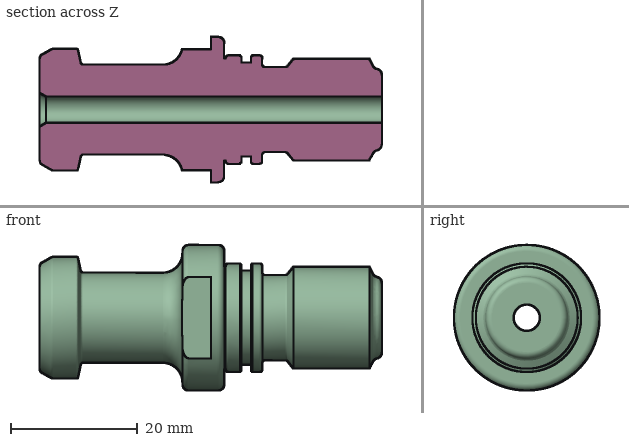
import cadquery as cq
import math

length = 54.0

head_radius = 9.6
head_nose_round = 0.75
head_bevel_start_radius = 8.5
head_bevel_end = 2.0
head_bevel_blend = 0.65
head_back = 6.05
head_taper_end = 6.6
head_back_round = 0.25

shank_radius = 7.15
shank_corner_round = 0.3
sweep_radius = 3.0

flange_front = 22.5
flange_back = 29.15
flange_radius = 11.5
flange_round = 1.0
flat_end = 27.0
flat_offset = 9.55

undercut_radius = 8.1
undercut_end = 29.3
collar_radius = 8.6
collar_end = 31.85
collar_front_round = 0.5
collar_back_edge = 0.25
groove_radius = 7.45
ring_start = 33.3
ring_end = 35.15
ring_front_edge = 0.25
ring_back_round = 0.5

relief_radius = 6.75
relief_corner_round = 0.3
relief_end = 39.0
thread_radius = 8.05
thread_start = 40.0
thread_end = 52.0
nose_radius = 6.5
nose_start = 52.8
nose_corner_round = 0.7
nose_round = 1.0

bore_radius = 2.05
bore_lead_in_radius = 2.65
bore_lead_in_depth = 1.0


def cylinder(start, end, radius):
    """Solid cylinder along X."""
    return cq.Workplane("YZ", origin=(start, 0, 0)).circle(radius).extrude(end - start)


def cone(start, end, start_radius, end_radius):
    """Solid truncated cone along X."""
    outline = [(start, 0), (start, start_radius), (end, end_radius), (end, 0)]
    return cq.Workplane("XY").polyline(outline).close().revolve(360, (0, 0, 0), (1, 0, 0))


def round_edge(body, x, radius, round_size):
    """Round the circular edge of the given radius in the plane at x."""
    tolerance = 0.005
    reach = radius + tolerance
    box = cq.selectors.BoxSelector((x - tolerance, -reach, -reach), (x + tolerance, reach, reach), True)
    return body.edges(box).fillet(round_size)


def make_head_and_shank():
    outline = [
        (0, 0),
        (0, head_bevel_start_radius),
        (head_bevel_end, head_radius),
        (head_back, head_radius),
        (head_taper_end, shank_radius),
        (flange_front, shank_radius),
        (flange_front, 0),
    ]
    body = cq.Workplane("XY").polyline(outline).close().revolve(360, (0, 0, 0), (1, 0, 0))
    body = round_edge(body, 0, head_bevel_start_radius, head_nose_round)
    body = round_edge(body, head_bevel_end, head_radius, head_bevel_blend)
    body = round_edge(body, head_back, head_radius, head_back_round)
    return round_edge(body, head_taper_end, shank_radius, shank_corner_round)


def make_sweep():
    sweep_start = flange_front - sweep_radius
    sweep_top = shank_radius + sweep_radius
    diagonal = sweep_radius * math.sqrt(0.5)
    return (
        cq.Workplane("XY")
        .moveTo(sweep_start, 0)
        .lineTo(sweep_start, shank_radius)
        .threePointArc((sweep_start + diagonal, sweep_top - diagonal), (flange_front, sweep_top))
        .lineTo(flange_front, 0)
        .close()
        .revolve(360, (0, 0, 0), (1, 0, 0))
    )


def make_flange():
    return cylinder(flange_front, flange_back, flange_radius).edges().fillet(flange_round)


def cut_flats(body):
    flat_depth = flange_radius - flat_offset
    flat_length = flat_end - flange_front + sweep_radius
    for side in (-1, 1):
        cutter = cq.Workplane("XY").box(flat_length, flat_depth, 2 * flange_radius)
        centre_x = flat_end - flat_length / 2
        centre_y = side * (flat_offset + flat_depth / 2)
        body = body.cut(cutter.translate((centre_x, centre_y, 0)))
    return body


def make_pilot():
    undercut = cylinder(flange_back, undercut_end, undercut_radius)
    collar = cylinder(undercut_end, collar_end, collar_radius)
    collar = collar.edges("<X").fillet(collar_front_round).edges(">X").chamfer(collar_back_edge)
    groove = cylinder(collar_end, ring_start, groove_radius)
    ring = cylinder(ring_start, ring_end, collar_radius)
    ring = ring.edges("<X").chamfer(ring_front_edge).edges(">X").fillet(ring_back_round)
    return undercut.union(collar).union(groove).union(ring)


def make_thread_end():
    relief = cylinder(ring_end, relief_end, relief_radius)
    lead_in = cone(relief_end, thread_start, relief_radius, thread_radius)
    thread = cylinder(thread_start, thread_end, thread_radius)
    lead_out = cone(thread_end, nose_start, thread_radius, nose_radius)
    nose = cylinder(nose_start, length, nose_radius).edges(">X").fillet(nose_round)
    body = relief.union(lead_in).union(thread).union(lead_out).union(nose)
    body = round_edge(body, relief_end, relief_radius, relief_corner_round)
    return round_edge(body, nose_start, nose_radius, nose_corner_round)


def cut_bore(body):
    body = body.cut(cylinder(0, length, bore_radius))
    return body.cut(cone(0, bore_lead_in_depth, bore_lead_in_radius, bore_radius))


flange_section = cut_flats(make_flange().union(make_sweep()))
result = make_head_and_shank().union(flange_section).union(make_pilot()).union(make_thread_end())
result = round_edge(result, ring_end, relief_radius, relief_corner_round)
result = cut_bore(result)